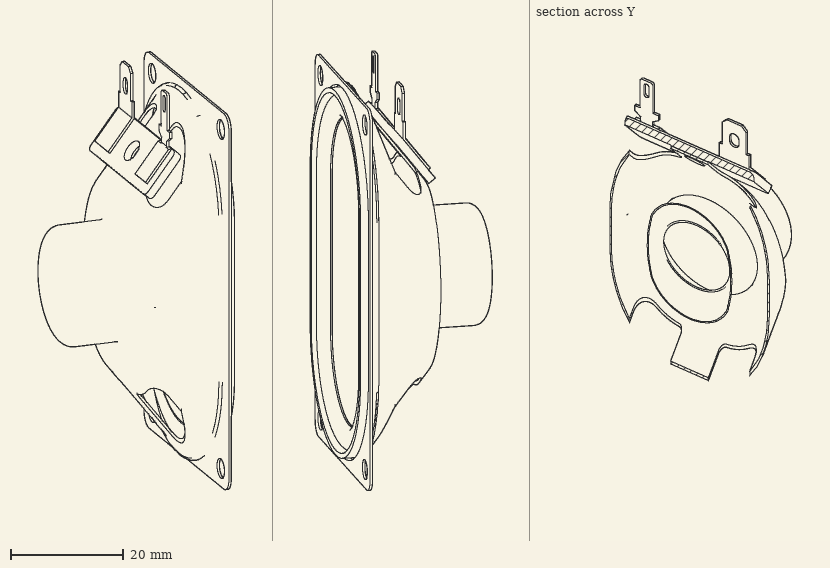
import cadquery as cq
import math


SHEET = 0.475
FLANGE_WIDTH = 41.5
FLANGE_HEIGHT = 70.65
FLANGE_CORNER = 2.5
MOUNT_HOLE_DIA = 3.6
MOUNT_HOLE_X = 16.8
MOUNT_HOLE_Z = 31.9
STRAIGHT_LENGTH = 29.2
RIM_HALF_WIDTH = 20.0
LEDGE_DEPTH = 1.9
LEDGE_INNER_DEPTH = LEDGE_DEPTH - SHEET
RIM_INNER_HALF = RIM_HALF_WIDTH - SHEET

BASKET_HALF_WIDTH = 17.3
STRIP_HALF_WIDTH = 4.3
BASKET_END_RISE = 21.1
WALL_SLOPE = 1.28
CROSSING_DEPTH = 11.2
BACK_DEPTH = 14.3
BACK_FILLET = 2.0
BASKET_FOOT_FILLET = 1.1

WINDOW_INNER_X = 4.1
WINDOW_OUTER_X = 13.0
WINDOW_NEAR_DEPTH = 4.45
WINDOW_ARC_MID = (10.2, 4.75)
WINDOW_OUTER_DEPTH = 6.5
WINDOW_FAR_DEPTH = 11.9
WINDOW_INNER_FILLET = 1.0
WINDOW_OUTER_FILLET = 3.0

CUP_DIA = 22.0
CUP_BORE_DIA = 21.0
CUP_END_DEPTH = 25.25
CUP_EDGE_FILLET = 2.0
CUP_FOOT_FILLET = 1.0

GASKET_HEIGHT = 1.3
GASKET_HALF_WIDTH = 19.05
SURROUND_THICKNESS = 0.3
ROLL_RADIUS = 2.0
ROLL_INNER_HALF = 13.95
ROLL_CENTRE_HALF = ROLL_INNER_HALF + ROLL_RADIUS
ROLL_OUTER_RADIUS = ROLL_RADIUS + SURROUND_THICKNESS
ROLL_REACH = math.sqrt(ROLL_OUTER_RADIUS**2 - SURROUND_THICKNESS**2)
GASKET_INNER_HALF = ROLL_CENTRE_HALF + ROLL_REACH
CONE_LIP_HALF = 13.65
CONE_NECK_DIA = 15.0
CONE_NECK_DEPTH = 10.0
CONE_WALL = 0.4
NECK_SPLIT_ANGLE = 30.0

BOARD_WIDTH = 28.0
BOARD_LENGTH = 9.5
BOARD_THICKNESS = 1.5
BOARD_CORNER = 1.0
BOARD_CENTRE_DEPTH = 9.7
BOARD_HOLE_DIA = 4.0

TERMINAL_X = 9.5
TAB_FACE_DEPTH = 8.5
FOOT_LENGTH = 7.6
SHOULDER_Z = 30.8
WIDE_FOOT_WIDTH = 6.5
WIDE_TAB_WIDTH = 5.2
WIDE_TAB_TOP = 36.9
WIDE_TAB_CHAMFER = 1.0
WIDE_SLOT = (2.0, 3.0)
WIDE_SLOT_Z = 32.85
NARROW_FOOT_WIDTH = 5.1
NARROW_TAB_WIDTH = 2.85
NARROW_TAB_TOP = 37.65
NARROW_TAB_FILLET = 0.6
NARROW_SLOT = (1.0, 3.1)
NARROW_SLOT_Z = 35.4
BARB_LOW_Z = 29.6
BARB_NECK_Z = 28.75
BEND_WIDTH = 2.6

SELECT_MARGIN = 0.1
SLOPE_LENGTH = math.hypot(1, WALL_SLOPE)
DOWN_SLOPE = cq.Vector(0, -1 / SLOPE_LENGTH, -WALL_SLOPE / SLOPE_LENGTH)
FACE_NORMAL = cq.Vector(0, -WALL_SLOPE / SLOPE_LENGTH, 1 / SLOPE_LENGTH)


def at_depth(depth):
    """Workplane facing -Y at a depth, with local x along X and local y along Z."""
    return cq.Workplane("XZ").workplane(offset=depth)


def obround(half_width, depth_from, depth_to):
    """Upright obround plate between two depths."""
    return (
        at_depth(depth_from)
        .slot2D(STRAIGHT_LENGTH + 2 * half_width, 2 * half_width, 90)
        .extrude(depth_to - depth_from)
    )


def end_wall_z(depth):
    """Z of the flat end wall's outer face at a depth."""
    return BASKET_END_RISE + (CROSSING_DEPTH - depth) * WALL_SLOPE


def end_prism(inset, depth_from, depth_to):
    """Slanting prism bounded by the sides and the +Z end of the basket, moved inwards by an inset."""
    side = BASKET_HALF_WIDTH - inset
    rise = BASKET_END_RISE - inset * SLOPE_LENGTH
    corner_z = end_wall_z(depth_from) - BASKET_END_RISE
    top = corner_z + rise
    bottom = corner_z - FLANGE_HEIGHT
    run = side - STRIP_HALF_WIDTH
    corner_start = (side, corner_z)
    outline = (
        at_depth(depth_from)
        .moveTo(-side, bottom)
        .lineTo(side, bottom)
        .lineTo(*corner_start)
        .ellipseArc(run, rise, 0, 90, startAtCurrent=True)
        .lineTo(-STRIP_HALF_WIDTH, top)
        .ellipseArc(run, rise, 90, 180, startAtCurrent=True)
        .close()
    )
    depth = depth_to - depth_from
    sweep = cq.Vector(0, -depth, -depth * WALL_SLOPE)
    return cq.Workplane(cq.Solid.extrudeLinear(outline.val(), [], sweep))


def basket_solid(inset, depth_from, depth_to, back_fillet):
    """Tapered basket volume, rounded around its back face."""
    upper = end_prism(inset, depth_from, depth_to)
    body = upper.intersect(upper.mirror("XY"))
    return body.faces("<Y").edges().fillet(back_fillet)


def cup_solid(diameter, depth_from, depth_to, edge_fillet):
    cup = at_depth(depth_from).circle(diameter / 2).extrude(depth_to - depth_from)
    return cup.faces("<Y").edges().fillet(edge_fillet)


def windows():
    """Cutter for the windows on both sides of the end strips, running along Z through both ends."""
    cutter = (
        cq.Workplane("XY", origin=(0, 0, -FLANGE_HEIGHT / 2))
        .moveTo(WINDOW_INNER_X, -WINDOW_NEAR_DEPTH)
        .threePointArc(
            (WINDOW_ARC_MID[0], -WINDOW_ARC_MID[1]),
            (WINDOW_OUTER_X, -WINDOW_OUTER_DEPTH),
        )
        .lineTo(WINDOW_OUTER_X, -WINDOW_FAR_DEPTH)
        .lineTo(WINDOW_INNER_X, -WINDOW_FAR_DEPTH)
        .close()
        .extrude(FLANGE_HEIGHT)
    )
    cutter = cutter.edges("|Z").edges("<X").fillet(WINDOW_INNER_FILLET)
    cutter = cutter.edges("|Z").edges(">X").edges("<Y").fillet(WINDOW_OUTER_FILLET)
    return cutter.union(cutter.mirror("YZ"))


def board_plane(height):
    """Plane on or above the end wall, centred on the board, with local x along X."""
    on_wall = cq.Vector(0, -BOARD_CENTRE_DEPTH, end_wall_z(BOARD_CENTRE_DEPTH))
    return cq.Workplane(cq.Plane(on_wall + FACE_NORMAL * height, (1, 0, 0), FACE_NORMAL))


def foot_edges(depth, half_width, half_height):
    """Selector for the edges that lie at a depth inside a centred rectangle."""
    return cq.selectors.BoxSelector(
        (-half_width, -depth - SELECT_MARGIN, -half_height),
        (half_width, -depth + SELECT_MARGIN, half_height),
        boundingbox=True,
    )


def frame_outside():
    """Frame as a filled body with all its outer roundings."""
    flange = (
        at_depth(0)
        .rect(FLANGE_WIDTH, FLANGE_HEIGHT)
        .extrude(SHEET)
        .edges("|Y")
        .fillet(FLANGE_CORNER)
    )
    rim = obround(RIM_HALF_WIDTH, 0, LEDGE_DEPTH).faces("<Y").edges().fillet(SHEET)
    basket = basket_solid(0, LEDGE_INNER_DEPTH, BACK_DEPTH, BACK_FILLET)
    cup = cup_solid(CUP_DIA, BACK_DEPTH - SHEET, CUP_END_DEPTH, CUP_EDGE_FILLET)
    body = flange.union(rim).union(basket).union(cup)

    cup_reach = CUP_DIA / 2 + SELECT_MARGIN
    basket_reach = BASKET_HALF_WIDTH + SELECT_MARGIN
    basket_rise = end_wall_z(LEDGE_DEPTH) + SELECT_MARGIN
    rim_reach = RIM_HALF_WIDTH + SELECT_MARGIN
    rim_rise = STRAIGHT_LENGTH / 2 + rim_reach
    body = body.edges(foot_edges(BACK_DEPTH, cup_reach, cup_reach)).fillet(CUP_FOOT_FILLET)
    body = body.edges(foot_edges(LEDGE_DEPTH, basket_reach, basket_rise)).fillet(BASKET_FOOT_FILLET)
    return body.edges(foot_edges(SHEET, rim_reach, rim_rise)).fillet(SHEET)


def frame_cavities():
    """Hollows inside the rim, the basket and the cup."""
    back_inner_depth = BACK_DEPTH - SHEET
    rim = obround(RIM_INNER_HALF, 0, LEDGE_INNER_DEPTH)
    basket = basket_solid(SHEET, 0, back_inner_depth, BACK_FILLET - SHEET)
    basket = basket.intersect(obround(RIM_INNER_HALF, 0, BACK_DEPTH))
    cup = cup_solid(
        CUP_BORE_DIA, back_inner_depth - SHEET, CUP_END_DEPTH - SHEET, CUP_EDGE_FILLET - SHEET
    )
    return rim, basket, cup


def mount_holes():
    return (
        at_depth(0)
        .rect(2 * MOUNT_HOLE_X, 2 * MOUNT_HOLE_Z, forConstruction=True)
        .vertices()
        .circle(MOUNT_HOLE_DIA / 2)
        .extrude(SHEET)
    )


def make_frame():
    frame = frame_outside()
    for cavity in frame_cavities():
        frame = frame.cut(cavity)
    strip_hole = board_plane(0).circle(BOARD_HOLE_DIA / 2).extrude(-2 * SHEET)
    return frame.cut(windows()).cut(mount_holes()).cut(strip_hole)


def make_gasket():
    """Ring that stands on the lip of the surround and rises above the mounting face."""
    base = LEDGE_INNER_DEPTH - SURROUND_THICKNESS
    ring = obround(GASKET_HALF_WIDTH, base, -GASKET_HEIGHT)
    return ring.cut(obround(GASKET_INNER_HALF, base, -GASKET_HEIGHT))


def surround_section(z):
    """Half section of the surround at +X: flat lips joined by a half-round roll towards +Y."""
    return (
        cq.Workplane("XY", origin=(0, -LEDGE_INNER_DEPTH, z))
        .moveTo(CONE_LIP_HALF, 0)
        .lineTo(ROLL_INNER_HALF, 0)
        .threePointArc((ROLL_CENTRE_HALF, ROLL_RADIUS), (ROLL_CENTRE_HALF + ROLL_RADIUS, 0))
        .lineTo(RIM_INNER_HALF, 0)
        .lineTo(RIM_INNER_HALF, SURROUND_THICKNESS)
        .lineTo(ROLL_CENTRE_HALF + ROLL_REACH, SURROUND_THICKNESS)
        .threePointArc(
            (ROLL_CENTRE_HALF, ROLL_OUTER_RADIUS),
            (ROLL_CENTRE_HALF - ROLL_REACH, SURROUND_THICKNESS),
        )
        .lineTo(CONE_LIP_HALF, SURROUND_THICKNESS)
        .close()
    )


def make_surround():
    side = surround_section(-STRAIGHT_LENGTH / 2).extrude(STRAIGHT_LENGTH)
    end = surround_section(STRAIGHT_LENGTH / 2).revolve(180, (0, 0, 0), (0, -1, 0))
    return side.union(side.mirror("YZ")).union(end).union(end.mirror("XY"))


def cone_solid(inset):
    """Ruled volume from the obround lip to the round neck, with joints on the centre line."""
    lip = ROLL_INNER_HALF - inset
    neck = CONE_NECK_DIA / 2 - inset
    half_straight = STRAIGHT_LENGTH / 2

    def end_point(angle):
        """Point on the rounded +Z or -Z end of the lip."""
        x = lip * math.cos(math.radians(angle))
        z = lip * math.sin(math.radians(angle))
        return x, z + math.copysign(half_straight, z)

    def neck_point(angle):
        return neck * math.cos(math.radians(angle)), neck * math.sin(math.radians(angle))

    split = NECK_SPLIT_ANGLE
    middle = (split + 90) / 2
    return (
        at_depth(LEDGE_INNER_DEPTH)
        .moveTo(lip, -half_straight)
        .lineTo(lip, half_straight)
        .threePointArc(end_point(45), end_point(90))
        .threePointArc(end_point(135), (-lip, half_straight))
        .lineTo(-lip, -half_straight)
        .threePointArc(end_point(-135), end_point(-90))
        .threePointArc(end_point(-45), (lip, -half_straight))
        .close()
        .workplane(offset=CONE_NECK_DEPTH - LEDGE_INNER_DEPTH)
        .moveTo(*neck_point(-split))
        .threePointArc(neck_point(0), neck_point(split))
        .threePointArc(neck_point(middle), neck_point(90))
        .threePointArc(neck_point(180 - middle), neck_point(180 - split))
        .threePointArc(neck_point(180), neck_point(180 + split))
        .threePointArc(neck_point(180 + middle), neck_point(270))
        .threePointArc(neck_point(-middle), neck_point(-split))
        .close()
        .loft(ruled=True)
    )


def make_cone():
    return cone_solid(0).cut(cone_solid(CONE_WALL))


def make_board():
    board = (
        board_plane(0)
        .rect(BOARD_WIDTH, BOARD_LENGTH)
        .extrude(BOARD_THICKNESS)
        .edges(cq.selectors.ParallelDirSelector(FACE_NORMAL))
        .fillet(BOARD_CORNER)
    )
    return board.cut(board_plane(0).circle(BOARD_HOLE_DIA / 2).extrude(BOARD_THICKNESS))


def board_front_top():
    """Middle of the upper edge of the board's outer face."""
    return board_plane(BOARD_THICKNESS).plane.toWorldCoords((0, BOARD_LENGTH / 2))


def sloped_plane_z(depth, height):
    """Z, at a depth, of a plane parallel to the end wall and a height above it."""
    return end_wall_z(depth) + height * SLOPE_LENGTH


def bent_strip(centre_x, width, top):
    """Sheet strip bent from an upright tab to a foot lying on the board."""
    inner = TAB_FACE_DEPTH - SHEET
    foot_end_inner = board_front_top() + DOWN_SLOPE * FOOT_LENGTH
    foot_end_outer = foot_end_inner + FACE_NORMAL * SHEET
    return (
        cq.Workplane("YZ", origin=(centre_x, 0, 0))
        .moveTo(-inner, top)
        .lineTo(-inner, sloped_plane_z(inner, BOARD_THICKNESS))
        .lineTo(foot_end_inner.y, foot_end_inner.z)
        .lineTo(foot_end_outer.y, foot_end_outer.z)
        .lineTo(-TAB_FACE_DEPTH, sloped_plane_z(TAB_FACE_DEPTH, BOARD_THICKNESS + SHEET))
        .lineTo(-TAB_FACE_DEPTH, top)
        .close()
        .extrude(width / 2, both=True)
    )


def tab_plate(centre_x, half_outline):
    """Thick plate whose outline is mirrored about the middle of a tab."""
    right = [(centre_x + x, z) for x, z in half_outline]
    left = [(centre_x - x, z) for x, z in reversed(half_outline)]
    return at_depth(0).polyline(right + left).close().extrude(CUP_END_DEPTH)


def tab_slot(centre_x, centre_z, size):
    width, length = size
    return at_depth(0).center(centre_x, centre_z).slot2D(length, width, 90).extrude(CUP_END_DEPTH)


def make_wide_terminal():
    foot = WIDE_FOOT_WIDTH / 2
    tab = WIDE_TAB_WIDTH / 2
    outline = [
        (foot, 0),
        (foot, SHOULDER_Z),
        (tab, SHOULDER_Z),
        (tab, WIDE_TAB_TOP - WIDE_TAB_CHAMFER),
        (tab - WIDE_TAB_CHAMFER, WIDE_TAB_TOP),
    ]
    strip = bent_strip(-TERMINAL_X, WIDE_FOOT_WIDTH, WIDE_TAB_TOP)
    terminal = strip.intersect(tab_plate(-TERMINAL_X, outline))
    return terminal.cut(tab_slot(-TERMINAL_X, WIDE_SLOT_Z, WIDE_SLOT))


def make_narrow_terminal():
    foot = NARROW_FOOT_WIDTH / 2
    tab = NARROW_TAB_WIDTH / 2
    bend = BEND_WIDTH / 2
    bend_z = board_front_top().z
    outline = [
        (foot, 0),
        (foot, bend_z),
        (bend, bend_z),
        (bend, BARB_NECK_Z),
        (foot, BARB_LOW_Z),
        (foot, SHOULDER_Z),
        (tab, SHOULDER_Z),
        (tab, NARROW_TAB_TOP),
    ]
    strip = bent_strip(TERMINAL_X, NARROW_FOOT_WIDTH, NARROW_TAB_TOP)
    terminal = strip.intersect(tab_plate(TERMINAL_X, outline))
    terminal = terminal.faces(">Z").edges("|Y").fillet(NARROW_TAB_FILLET)
    return terminal.cut(tab_slot(TERMINAL_X, NARROW_SLOT_Z, NARROW_SLOT))


frame = make_frame()
gasket = make_gasket()
surround = make_surround()
cone = make_cone()
board = make_board()
wide_terminal = make_wide_terminal()
narrow_terminal = make_narrow_terminal()

result = cq.Compound.makeCompound([
    frame.val(),
    gasket.val(),
    surround.val(),
    cone.val(),
    board.val(),
    wide_terminal.val(),
    narrow_terminal.val(),
])